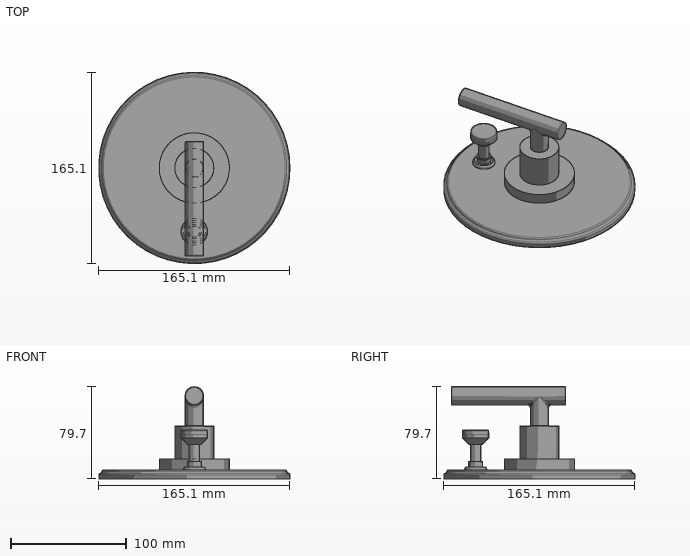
import cadquery as cq

plate_diameter = 165.1
plate_radius = plate_diameter / 2
plate_height = 8.0
rim_height = 3.5
shoulder_radius = 81.4
shoulder_height = 5.0
step_radius = 79.7
step_height = 6.8
plate_face_radius = 78.45

base_radius = 30.3
base_top = 17.4
hub_radius = 16.8
hub_top = 45.8
stem_radius = 7.85
stem_foot_chamfer = 0.4

overall_height = 79.72
bar_radius = 7.9
bar_axis_height = overall_height - bar_radius
bar_back_y = 22.6
bar_front_y = -76.0
bar_end_fillet = 0.7
bar_stem_fillet = 2.0

knob_y = -55.0
knob_root = plate_height / 2
flange_radius = 9.6
flange_top_radius = 8.0
flange_top = 10.6
collar_radius = 6.1
collar_top = 15.1
post_radius = 4.6
cone_bottom_radius = 5.8
cone_bottom = 29.9
cap_radius = 11.5
cap_bottom = 35.7
cap_straight_top = 38.3
cap_top_radius = 11.1
cap_top = 42.3
cap_top_fillet = 0.7


def cylinder(radius, bottom, top):
    """Upright cylinder on the plate axis."""
    return cq.Workplane("XY").workplane(offset=bottom).circle(radius).extrude(top - bottom)


def revolve_about_z(profile):
    """Turn a closed (radius, height) profile a full turn about Z."""
    return profile.close().revolve(360, (0, 0, 0), (0, 1, 0))


def make_plate():
    """Flat disc with a rounded shoulder, a cove and a rounded step around its rim."""
    profile = (
        cq.Workplane("XZ")
        .lineTo(plate_radius, 0)
        .lineTo(plate_radius, rim_height)
        .tangentArcPoint((shoulder_radius, shoulder_height), relative=False)
        .tangentArcPoint((step_radius, step_height), relative=False)
        .tangentArcPoint((plate_face_radius, plate_height), relative=False)
        .lineTo(0, plate_height)
    )
    return revolve_about_z(profile)


def make_lever():
    """Cross bar blended into its upright stem."""
    stem = cylinder(stem_radius, hub_top, bar_axis_height)
    stem = stem.faces("<Z").chamfer(stem_foot_chamfer)
    bar = (
        cq.Workplane("XZ", origin=(0, bar_back_y, bar_axis_height))
        .circle(bar_radius)
        .extrude(bar_back_y - bar_front_y)
        .faces("<Y or >Y")
        .edges()
        .fillet(bar_end_fillet)
    )
    lever = bar.union(stem)
    joint_edge = lever.edges("%BSPLINE")
    return joint_edge.fillet(bar_stem_fillet)


def make_knob():
    """Turned diverter knob standing on the plate."""
    profile = (
        cq.Workplane("XZ")
        .moveTo(0, knob_root)
        .lineTo(flange_radius, knob_root)
        .lineTo(flange_radius, plate_height)
        .tangentArcPoint((flange_top_radius, flange_top), relative=False)
        .lineTo(collar_radius, flange_top)
        .lineTo(collar_radius, collar_top)
        .lineTo(post_radius, collar_top)
        .lineTo(post_radius, cone_bottom)
        .lineTo(cone_bottom_radius, cone_bottom)
        .lineTo(cap_radius, cap_bottom)
        .lineTo(cap_radius, cap_straight_top)
        .lineTo(cap_top_radius, cap_top)
        .lineTo(0, cap_top)
    )
    knob = revolve_about_z(profile).faces(">Z").edges().fillet(cap_top_fillet)
    return knob.translate((0, knob_y, 0))


result = (
    make_plate()
    .union(cylinder(base_radius, plate_height, base_top))
    .union(cylinder(hub_radius, base_top, hub_top))
    .union(make_lever())
    .union(make_knob())
)